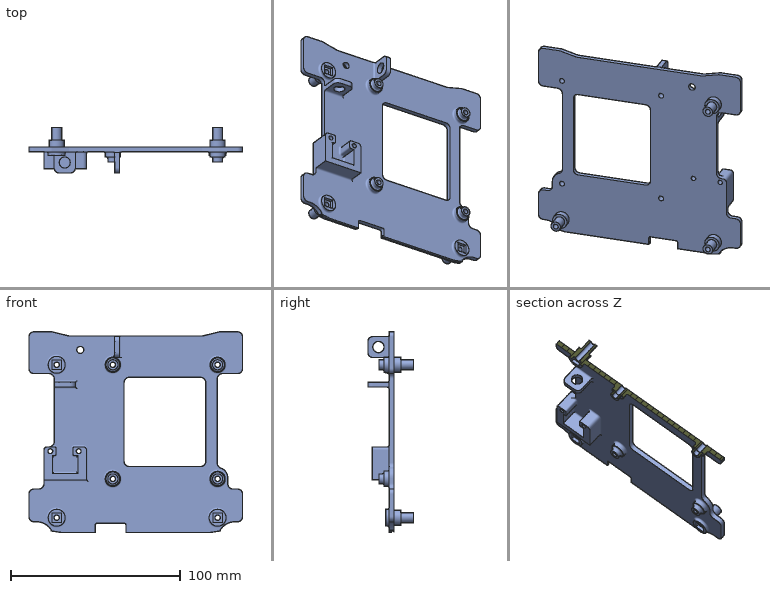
import cadquery as cq
import math

plate_width = 126.0
plate_height = 118.5
plate_thickness = 3.0
half_width = plate_width / 2
top = plate_height / 2
bottom = -plate_height / 2
corner_radius = 3.0
root_fillet = 1.0
front_face = -plate_thickness

top_edge = top - 2.5
top_slope_inner_x = 39.2
top_slope_outer_x = 49.5
upper_ear_bottom = top - 24.75
neck_x = 48.1
lower_ear_top = bottom + 25.8
left_shoulder_x = -54.2
left_shoulder_top = -8.6
left_shoulder_radius = 2.0
right_shoulder_radius = 6.25
right_shoulder_z = -27.0
right_shoulder_x = neck_x + right_shoulder_radius
lower_ear_bottom = bottom + 6.4
lower_scoop_outer_x = 58.0
lower_scoop_inner_x = 49.9
lower_scoop_inner_z = bottom + 1.7
lower_scoop_radius = 10.0
bottom_lip_z = bottom + 1.0
bottom_flat_x = 43.7

window_left = -6.8
window_bottom = -20.2
window_width = 48.0
window_height = 52.5
notch_left = -23.8
notch_width = 18.0
notch_depth = 5.5
notch_radius = 1.0
rear_groove_depth = 1.5
rear_groove_back_height = 0.4
rear_groove_inner_height = 1.5
small_hole_diameter = 4.0
small_hole_position = (-32.7, 48.5)

left_post_x = -46.6
right_post_x = 48.25
upper_post_z = 39.75
lower_post_z = -50.4
post_positions = [(left_post_x, upper_post_z), (left_post_x, lower_post_z), (right_post_x, lower_post_z)]
post_rim_diameter = 10.0
post_rim_height = 2.0
post_collar_diameter = 9.0
post_collar_height = 4.0
post_pin_diameter = 6.0
post_length = 11.5
nut_recess_size = 5.5
nut_recess_depth = 2.0
screw_hole_diameter = 3.0

left_standoff_x = -13.5
lower_standoff_z = -27.5
standoff_positions = [
    (x, z) for x in (left_standoff_x, right_post_x) for z in (lower_standoff_z, upper_post_z)
]
standoff_boss_diameter = 9.0
standoff_boss_height = 3.0
standoff_foot_diameter = 8.02
standoff_pin_diameter = 6.0
standoff_height = 3.0

lug_length = 12.5
lug_width = 12.5
lug_thickness = 3.0
lug_hole_diameter = 6.5
side_lug_top = 29.5
upper_lug_left = -12.5
upper_lug_top = top_edge - 0.3

bracket_right = -29.0
bracket_bottom = -28.1
bracket_height = 10.0
bracket_wall = 5.0
bracket_floor_wall = 3.7
bracket_arm_height = 5.25
bracket_mouth_left = -47.0
bracket_mouth_width = 10.0
bracket_tip_radius = 1.0
bracket_hole_diameter = 2.7
bracket_hole_spacing = 16.7
bracket_hole_z = -11.2


def face_plane(y):
    """Sketch plane at the given y whose local axes are X and Z and whose normal is -Y."""
    return cq.Workplane("XZ", origin=(0, y, 0))


def disc(x, z, diameter, y_start, length):
    """Cylinder along -Y that starts at y_start."""
    return face_plane(y_start).center(x, z).circle(diameter / 2).extrude(length)


def block(left, right, low, high, y_start, length):
    """Box given by its X and Z limits, reaching along -Y from y_start."""
    return (
        face_plane(y_start)
        .center((left + right) / 2, (low + high) / 2)
        .rect(right - left, high - low)
        .extrude(length)
    )


def round_edges(body, points, radius):
    """Fillet the edges that run along Y through the given (x, z) points."""
    y_middle = body.val().BoundingBox().center.y
    along_y = body.edges("|Y")
    chosen = []
    for x, z in points:
        chosen += along_y.edges(cq.NearestToPointSelector((x, y_middle, z))).vals()
    return body.newObject(chosen).fillet(radius)


def flare(x, z, diameter, y_foot, radius):
    """Concave fillet ring around a cylinder that stands on the plane y_foot."""
    inner = diameter / 2
    outer = inner + radius
    sag = radius * (1 - math.sqrt(0.5))
    return (
        cq.Workplane("XY", origin=(x, y_foot, z))
        .lineTo(outer, 0)
        .threePointArc((inner + sag, -sag), (inner, -radius))
        .lineTo(0, -radius)
        .close()
        .revolve(360, (0, 0, 0), (0, 1, 0))
    )


def make_outline_prism(y_start, depth):
    """Plate outline with rounded corners, extruded along -Y from y_start."""
    outline = (
        face_plane(y_start)
        .moveTo(-top_slope_inner_x, top_edge)
        .lineTo(-top_slope_outer_x, top)
        .lineTo(-half_width, top)
        .lineTo(-half_width, upper_ear_bottom)
        .lineTo(-neck_x, upper_ear_bottom)
        .lineTo(-neck_x, left_shoulder_top)
        .lineTo(left_shoulder_x, left_shoulder_top)
        .lineTo(left_shoulder_x, lower_ear_top)
        .lineTo(-half_width, lower_ear_top)
        .lineTo(-half_width, lower_ear_bottom)
        .lineTo(-lower_scoop_outer_x, lower_ear_bottom)
        .radiusArc((-lower_scoop_inner_x, lower_scoop_inner_z), lower_scoop_radius)
        .lineTo(-lower_scoop_inner_x, bottom_lip_z)
        .lineTo(-bottom_flat_x, bottom)
        .lineTo(bottom_flat_x, bottom)
        .lineTo(lower_scoop_inner_x, bottom_lip_z)
        .lineTo(lower_scoop_inner_x, lower_scoop_inner_z)
        .radiusArc((lower_scoop_outer_x, lower_ear_bottom), lower_scoop_radius)
        .lineTo(half_width, lower_ear_bottom)
        .lineTo(half_width, lower_ear_top)
        .lineTo(right_shoulder_x, lower_ear_top)
        .lineTo(right_shoulder_x, right_shoulder_z)
        .radiusArc((neck_x, right_shoulder_z + right_shoulder_radius), -right_shoulder_radius)
        .lineTo(neck_x, upper_ear_bottom)
        .lineTo(half_width, upper_ear_bottom)
        .lineTo(half_width, top)
        .lineTo(top_slope_outer_x, top)
        .lineTo(top_slope_inner_x, top_edge)
        .close()
        .extrude(depth)
    )
    corners = [
        (side * x, z)
        for side in (-1, 1)
        for x, z in [
            (half_width, top),
            (half_width, upper_ear_bottom),
            (neck_x, upper_ear_bottom),
            (half_width, lower_ear_top),
            (half_width, lower_ear_bottom),
        ]
    ]
    corners += [
        (-neck_x, left_shoulder_top),
        (left_shoulder_x, lower_ear_top),
        (right_shoulder_x, lower_ear_top),
        (neck_x, right_shoulder_z + right_shoulder_radius),
    ]
    plate = round_edges(outline, corners, corner_radius)
    return round_edges(plate, [(left_shoulder_x, left_shoulder_top)], left_shoulder_radius)


def cut_openings(plate):
    window_right = window_left + window_width
    window_top = window_bottom + window_height
    window = block(window_left, window_right, window_bottom, window_top, 0, plate_thickness)
    window = window.edges("|Y").fillet(corner_radius)
    notch_top = bottom + notch_depth
    notch = block(notch_left, notch_left + notch_width, bottom, notch_top, 0, plate_thickness)
    notch = round_edges(notch, [(notch_left, notch_top), (notch_left + notch_width, notch_top)], notch_radius)
    hole = disc(*small_hole_position, small_hole_diameter, 0, plate_thickness)
    return plate.cut(window).cut(notch).cut(hole)


def cut_rear_groove(plate):
    """Relieve the back of the bottom edge with a sloped undercut along its whole length."""
    groove = (
        cq.Workplane("YZ", origin=(-half_width, 0, 0))
        .moveTo(0, bottom)
        .lineTo(0, bottom + rear_groove_back_height)
        .lineTo(-rear_groove_depth, bottom + rear_groove_inner_height)
        .lineTo(-rear_groove_depth, bottom)
        .close()
        .extrude(plate_width)
    )
    return plate.cut(groove)


def add_post(plate, x, z):
    rim = disc(x, z, post_rim_diameter, front_face, post_rim_height)
    foot = flare(x, z, post_rim_diameter, front_face, root_fillet)
    collar = disc(x, z, post_collar_diameter, post_collar_height, post_collar_height)
    pin = disc(x, z, post_pin_diameter, post_length, post_length)
    rim_top = front_face - post_rim_height
    half_nut = nut_recess_size / 2
    recess = block(
        x - half_nut, x + half_nut, z - half_nut, z + half_nut, rim_top + nut_recess_depth, nut_recess_depth
    )
    screw_hole = disc(x, z, screw_hole_diameter, post_length, post_length - rim_top)
    return plate.union(rim).union(foot).union(collar).union(pin).cut(recess).cut(screw_hole)


def add_standoff_boss(plate, x, z):
    boss = disc(x, z, standoff_boss_diameter, front_face, standoff_boss_height)
    foot = flare(x, z, standoff_boss_diameter, front_face, root_fillet)
    screw_hole = disc(x, z, screw_hole_diameter, 0, plate_thickness + standoff_boss_height)
    return plate.union(boss).union(foot).cut(screw_hole)


def make_standoff(x, z):
    seat = front_face - standoff_boss_height
    pin = disc(x, z, standoff_pin_diameter, seat, standoff_height)
    foot_radius = (standoff_foot_diameter - standoff_pin_diameter) / 2
    foot = flare(x, z, standoff_pin_diameter, seat, foot_radius)
    return pin.union(foot).cut(disc(x, z, screw_hole_diameter, seat, standoff_height))


def fillet_roots(body, left, right, low, high):
    """Fillet the edges on the front face whose centres lie inside the given X and Z limits."""
    reach = root_fillet / 2
    window = cq.selectors.BoxSelector((left, front_face - reach, low), (right, front_face + reach, high))
    return body.edges(window).fillet(root_fillet)


def make_upper_lug():
    """Upright lug just below the top edge of the plate, drilled along X."""
    low = upper_lug_top - lug_width
    tip = front_face - lug_length
    lug = block(upper_lug_left, upper_lug_left + lug_thickness, low, upper_lug_top, front_face, lug_length)
    lug = lug.faces("<Y").edges("|X").fillet(corner_radius)
    hole = (
        cq.Workplane("YZ", origin=(upper_lug_left, 0, 0))
        .center(tip + lug_width / 2, low + lug_width / 2)
        .circle(lug_hole_diameter / 2)
        .extrude(lug_thickness)
    )
    return lug.cut(hole)


def make_side_lug():
    """Flat lug at the left neck of the plate, drilled along Z."""
    low = side_lug_top - lug_thickness
    tip = front_face - lug_length
    lug = block(-neck_x, lug_width - neck_x, low, side_lug_top, front_face, lug_length)
    lug = lug.faces("<Y").edges("|Z").fillet(corner_radius)
    hole = (
        cq.Workplane("XY", origin=(0, 0, low))
        .center(-neck_x + lug_width / 2, tip + lug_width / 2)
        .circle(lug_hole_diameter / 2)
        .extrude(lug_thickness)
    )
    return lug.cut(hole)


def make_bracket():
    """U-shaped bracket with a pocket that narrows to a mouth between two arm tips."""
    mouth_right = bracket_mouth_left + bracket_mouth_width
    pocket_left = left_shoulder_x + bracket_wall
    pocket_right = bracket_right - bracket_wall
    pocket_top = left_shoulder_top - bracket_arm_height
    body = block(left_shoulder_x, bracket_right, bracket_bottom, left_shoulder_top, front_face, bracket_height)
    pocket = block(
        pocket_left, pocket_right, bracket_bottom + bracket_floor_wall, pocket_top, front_face, bracket_height
    )
    mouth = block(bracket_mouth_left, mouth_right, pocket_top, left_shoulder_top, front_face, bracket_height)
    body = body.cut(pocket).cut(mouth)
    tips = [(x, z) for x in (bracket_mouth_left, mouth_right) for z in (pocket_top, left_shoulder_top)]
    body = round_edges(body, tips, bracket_tip_radius)
    return round_edges(body, [(bracket_right, left_shoulder_top)], left_shoulder_radius)


def drill_bracket(plate):
    centre_x = bracket_mouth_left + bracket_mouth_width / 2
    for side in (-1, 1):
        x = centre_x + side * bracket_hole_spacing / 2
        plate = plate.cut(disc(x, bracket_hole_z, bracket_hole_diameter, 0, plate_thickness + bracket_height))
    return plate


def make_plate():
    slab = block(-half_width, half_width, bottom, top, 0, plate_thickness)
    plate = slab.union(make_upper_lug()).union(make_side_lug()).union(make_bracket())
    upper_lug_right = upper_lug_left + lug_thickness
    plate = fillet_roots(
        plate,
        upper_lug_left - root_fillet,
        upper_lug_right + root_fillet,
        upper_lug_top - lug_width + root_fillet,
        upper_lug_top + root_fillet,
    )
    plate = fillet_roots(
        plate,
        root_fillet - neck_x,
        lug_width - neck_x + root_fillet,
        side_lug_top - lug_thickness - root_fillet,
        side_lug_top + root_fillet,
    )
    plate = fillet_roots(
        plate,
        left_shoulder_x - root_fillet,
        bracket_right + root_fillet,
        bracket_bottom - root_fillet,
        left_shoulder_top + root_fillet,
    )
    plate = plate.intersect(make_outline_prism(0, plate_thickness + lug_length))
    plate = cut_rear_groove(cut_openings(drill_bracket(plate)))
    for x, z in post_positions:
        plate = add_post(plate, x, z)
    for x, z in standoff_positions:
        plate = add_standoff_boss(plate, x, z)
    return plate


plate = make_plate()
standoffs = [make_standoff(x, z) for x, z in standoff_positions]

result = cq.Compound.makeCompound([plate.val(), *[standoff.val() for standoff in standoffs]])